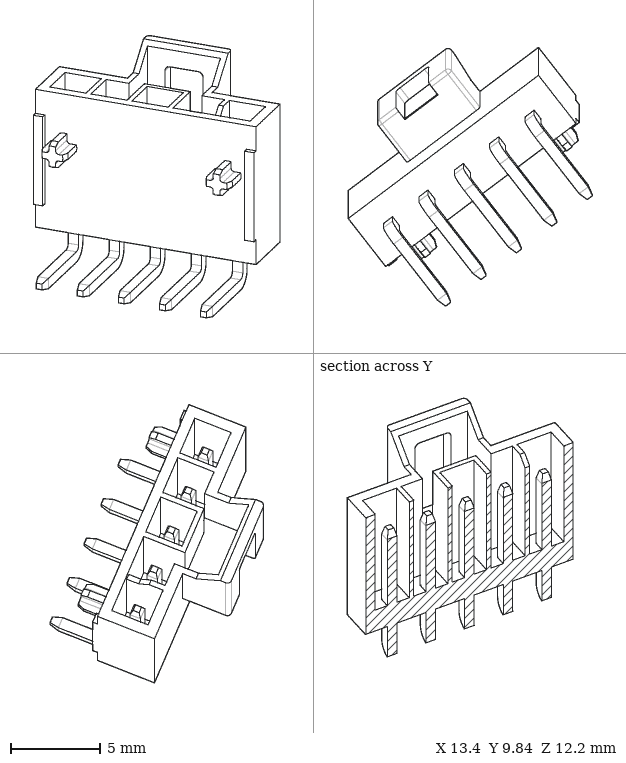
import cadquery as cq
import math


PIN_COUNT = 5
PITCH = 2.5
ROW_Y = 1.71
PIN_WIDTH = 0.64
PIN_DROP = 2.24
PIN_REACH = 3.52
PIN_TOP_DEPTH = 1.6
PIN_INNER_BEND = 0.3
PIN_TIP_LENGTH = 0.57
PIN_TIP_WIDTH = 0.36

BODY_WIDTH = 13.44
BODY_DEPTH = 3.46
BODY_HEIGHT = 8.44

CELL_SIZE = 2.2
CELL_DEPTH = 6.9
CELL_WALL = PITCH - CELL_SIZE

NOTCH_DROP = 0.63
NOTCH_START = 0.84

LATCH_WIDTH = 5.16
LATCH_DEPTH = 2.86
LATCH_RISE = 1.48
LATCH_DROP = 4.98
LATCH_TOP_DEPTH = 0.57
LATCH_EDGE_RADIUS = 0.25
LATCH_WALL = 0.36
LATCH_BACK_WALL = 0.84
WINDOW_WIDTH = 2.32
WINDOW_RISE = 0.16
WINDOW_RADIUS = 0.3

RAIL_WIDTH = 0.57
RAIL_HEIGHT = 5.45
RAIL_THICKNESS = 0.3
RAIL_TOP_DEPTH = 1.47

PEG_SPAN = 1.6
PEG_ARM = 0.4
PEG_LENGTH = 1.63
PEG_ROOT_RADIUS = 0.2
PEG_TAPER_LENGTH = 0.4
PEG_TAPER_INSET = 0.16
PEG_TOP_DEPTH = 3.18

PIN_POSITIONS = [PITCH * (i - (PIN_COUNT - 1) / 2) for i in range(PIN_COUNT)]
LATCH_BACK_Y = BODY_DEPTH + LATCH_DEPTH
LATCH_BOTTOM_Z = BODY_HEIGHT - LATCH_DROP
LATCH_FLOOR_Z = LATCH_BOTTOM_Z + LATCH_WALL
CELL_BACK_Y = ROW_Y + CELL_SIZE / 2


def block(x_range, y_range, z_range):
    """Box between the given limits along each axis."""
    limits = (x_range, y_range, z_range)
    sizes = [high - low for low, high in limits]
    corner = [low for low, high in limits]
    return cq.Workplane("XY").box(*sizes, centered=False).translate(tuple(corner))


def centred(middle, width):
    """Limits of a span of the given width around its middle."""
    return (middle - width / 2, middle + width / 2)


def front_plane(x, y, z):
    """Plane facing -Y, with its local Y along Z."""
    return cq.Plane(origin=(x, y, z), xDir=(1, 0, 0), normal=(0, -1, 0))


def latch_bracket():
    """Solid bracket with a sloped top, rounded along its back and bottom edges."""
    top = BODY_HEIGHT + LATCH_RISE
    slope_end_y = LATCH_BACK_Y - LATCH_TOP_DEPTH - LATCH_RISE
    bracket = (
        cq.Workplane("YZ", origin=(-LATCH_WIDTH / 2, 0, 0))
        .moveTo(ROW_Y, LATCH_BOTTOM_Z)
        .lineTo(LATCH_BACK_Y, LATCH_BOTTOM_Z)
        .lineTo(LATCH_BACK_Y, top)
        .lineTo(LATCH_BACK_Y - LATCH_TOP_DEPTH, top)
        .lineTo(slope_end_y, BODY_HEIGHT)
        .lineTo(ROW_Y, BODY_HEIGHT)
        .close()
        .extrude(LATCH_WIDTH)
    )
    back_sides = bracket.faces(">Y").edges("|Z")
    bottom_rim = bracket.faces("<Z").edges("|Y or >Y")
    return bracket.newObject(back_sides.vals() + bottom_rim.vals()).edges().fillet(LATCH_EDGE_RADIUS)


def latch_pocket():
    """Space inside the bracket, open upwards and into the cells beside the middle cell."""
    top_z = BODY_HEIGHT + LATCH_RISE
    pocket = block(
        centred(0, LATCH_WIDTH - 2 * LATCH_WALL),
        (CELL_BACK_Y, LATCH_BACK_Y - LATCH_BACK_WALL),
        (LATCH_FLOOR_Z, top_z),
    )
    middle_cell = block(
        centred(0, CELL_SIZE + 2 * CELL_WALL),
        (0, CELL_BACK_Y + CELL_WALL),
        (LATCH_FLOOR_Z, BODY_HEIGHT),
    )
    return pocket.cut(middle_cell)


def latch_window():
    """Slot through the back wall of the bracket, open at the bottom and with round top corners."""
    return block(
        centred(0, WINDOW_WIDTH),
        (LATCH_BACK_Y - LATCH_BACK_WALL, LATCH_BACK_Y),
        (LATCH_BOTTOM_Z, BODY_HEIGHT + WINDOW_RISE),
    ).faces(">Z").edges("|Y").fillet(WINDOW_RADIUS)


def key_notch():
    """Cut that lowers the front part of the last cell wall down a 45 degree slope."""
    wall_x = (PIN_POSITIONS[-2] + PIN_POSITIONS[-1]) / 2
    slope_y = CELL_BACK_Y - NOTCH_START
    floor_z = BODY_HEIGHT - NOTCH_DROP
    cell_front_y = ROW_Y - CELL_SIZE / 2
    return (
        cq.Workplane("YZ", origin=(wall_x - CELL_WALL / 2, 0, 0))
        .moveTo(slope_y, BODY_HEIGHT)
        .lineTo(slope_y - NOTCH_DROP, floor_z)
        .lineTo(cell_front_y, floor_z)
        .lineTo(cell_front_y, BODY_HEIGHT)
        .close()
        .extrude(CELL_WALL)
    )


def housing():
    """Body and latch bracket with the cells, the pocket, the window and the notch cut out."""
    body = block(centred(0, BODY_WIDTH), (0, BODY_DEPTH), (0, BODY_HEIGHT))
    body = body.union(latch_bracket())
    for x in PIN_POSITIONS:
        cell = block(
            centred(x, CELL_SIZE),
            centred(ROW_Y, CELL_SIZE),
            (BODY_HEIGHT - CELL_DEPTH, BODY_HEIGHT),
        )
        body = body.cut(cell)
    return body.cut(latch_pocket()).cut(latch_window()).cut(key_notch())


def rail(side):
    """Standoff rail at the left (-1) or right (1) end of the front face."""
    top = BODY_HEIGHT - RAIL_TOP_DEPTH
    middle = side * (BODY_WIDTH - RAIL_WIDTH) / 2
    return block(centred(middle, RAIL_WIDTH), (-RAIL_THICKNESS, 0), (top - RAIL_HEIGHT, top))


def peg(x):
    """Cross-shaped peg whose arm ends lie on a cylinder that narrows to a cone at the front."""
    z = BODY_HEIGHT - PEG_TOP_DEPTH
    straight = PEG_LENGTH - PEG_TAPER_LENGTH
    base = front_plane(x, 0, z)
    cross = (
        cq.Workplane(base).rect(PEG_SPAN, PEG_ARM).extrude(PEG_LENGTH)
        .union(cq.Workplane(base).rect(PEG_ARM, PEG_SPAN).extrude(PEG_LENGTH))
    )
    root_box = cq.selectors.BoxSelector(
        (x - PEG_ARM, -PEG_LENGTH, z - PEG_ARM),
        (x + PEG_ARM, 0, z + PEG_ARM),
    )
    cross = cross.edges("|Y").edges(root_box).fillet(PEG_ROOT_RADIUS)
    tip_base = front_plane(x, -straight, z)
    taper_angle = math.degrees(math.atan2(PEG_TAPER_INSET, PEG_TAPER_LENGTH))
    shank = cq.Workplane(base).circle(PEG_SPAN / 2).extrude(straight)
    tip = cq.Workplane(tip_base).circle(PEG_SPAN / 2).extrude(PEG_TAPER_LENGTH, taper=taper_angle)
    return cross.intersect(shank.union(tip))


def pin(x):
    """Square pin that stands in its cell, bends forward below the body and has two tapered ends."""
    half = PIN_WIDTH / 2
    outer_bend = PIN_INNER_BEND + PIN_WIDTH
    taper_angle = math.degrees(math.atan2((PIN_WIDTH - PIN_TIP_WIDTH) / 2, PIN_TIP_LENGTH))
    shaft_top = BODY_HEIGHT - PIN_TOP_DEPTH - PIN_TIP_LENGTH
    shaft_front = -PIN_REACH + PIN_TIP_LENGTH
    tail_bottom = -PIN_DROP
    tail_top = tail_bottom + PIN_WIDTH
    bent_shaft = (
        cq.Workplane("YZ", origin=(x - half, 0, 0))
        .moveTo(ROW_Y + half, shaft_top)
        .lineTo(ROW_Y + half, tail_bottom + outer_bend)
        .radiusArc((ROW_Y + half - outer_bend, tail_bottom), outer_bend)
        .lineTo(shaft_front, tail_bottom)
        .lineTo(shaft_front, tail_top)
        .lineTo(ROW_Y - half - PIN_INNER_BEND, tail_top)
        .radiusArc((ROW_Y - half, tail_top + PIN_INNER_BEND), -PIN_INNER_BEND)
        .lineTo(ROW_Y - half, shaft_top)
        .close()
        .extrude(PIN_WIDTH)
    )
    mating_plane = cq.Plane(origin=(x, ROW_Y, shaft_top))
    tail_plane = front_plane(x, shaft_front, tail_bottom + half)
    for plane in (mating_plane, tail_plane):
        tip = cq.Workplane(plane).rect(PIN_WIDTH, PIN_WIDTH).extrude(PIN_TIP_LENGTH, taper=taper_angle)
        bent_shaft = bent_shaft.union(tip)
    return bent_shaft


result = housing()
for side in (-1, 1):
    result = result.union(rail(side))
for peg_x in (PIN_POSITIONS[0], PIN_POSITIONS[-1]):
    result = result.union(peg(peg_x))
for pin_x in PIN_POSITIONS:
    result = result.union(pin(pin_x))